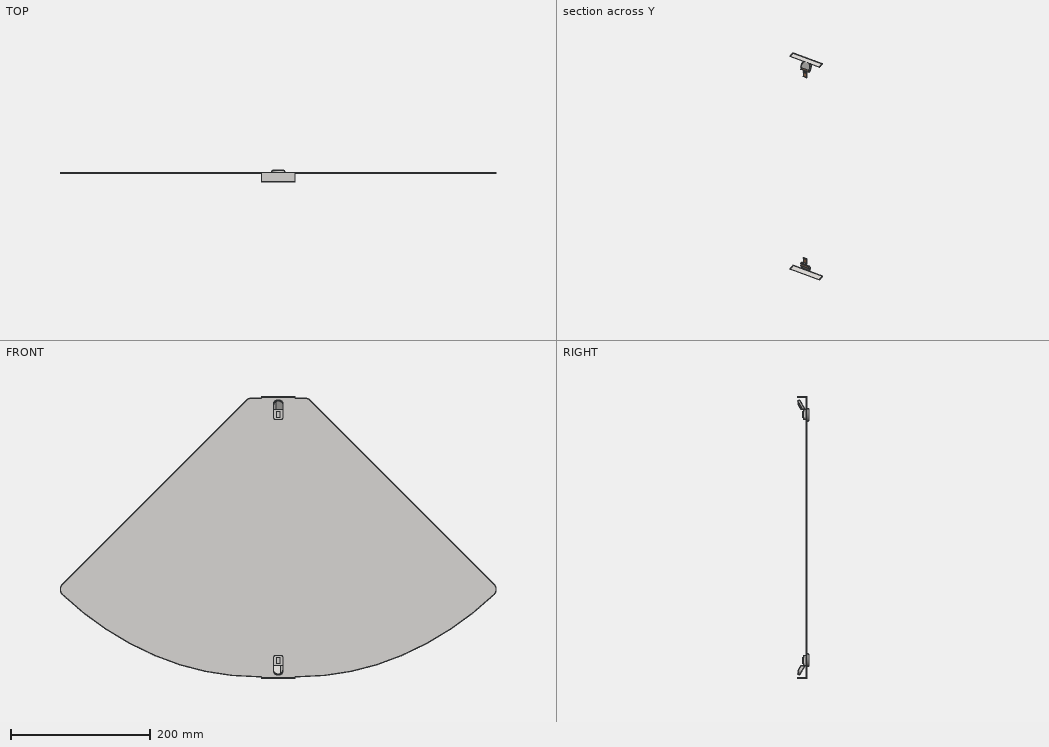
import cadquery as cq
import math

overall_height = 404.5
sheet = 1.5
edge_inset = 2.5
edge_height = overall_height / 2 - edge_inset
sector_radius = 448.5
apex_height = 242.5
side_corner_radius = 10.5
top_corner_radius = 10.0
bottom_corner_radius = 375

flange_width = 48.0
flange_depth = 14.0
flange_tip_radius = 1.0

lock_height = 176.0
collar_diameter = 19.0
collar_depth = 3.0
collar_rounding = 2.5
stem_diameter = 12.5
block_width = 14.0
block_depth = 3.0
block_top = 8.0
block_bottom = -7.0
block_corner_radius = 4.0
rib_width = 5.5
rib_length = 9.0
rib_depth = 2.0
rib_center = 0.5

lever_lean = 30
lever_thickness = 3.0
lever_length = 15.5
lever_back = 1.0
lip_width = 4.0
lip_angle = 30


def on_front(y):
    """XZ workplane at the given Y; extrusions run toward -Y."""
    return cq.Workplane("XZ", origin=(0, y, 0))


def arc_point(angle):
    """Point on the sector's arc at an angle in radians from straight down."""
    return (sector_radius * math.sin(angle), apex_height - sector_radius * math.cos(angle))


def mirrored(point):
    return (-point[0], point[1])


def make_sector():
    half_top = apex_height - edge_height
    corner_angle = math.radians(45)
    flat_angle = math.acos((apex_height + edge_height) / sector_radius)
    corner = arc_point(corner_angle)
    arc_middle = arc_point((corner_angle + flat_angle) / 2)
    flat_end = arc_point(flat_angle)
    sector = (
        on_front(sheet)
        .moveTo(-half_top, edge_height)
        .lineTo(half_top, edge_height)
        .lineTo(*corner)
        .threePointArc(arc_middle, flat_end)
        .lineTo(*mirrored(flat_end))
        .threePointArc(mirrored(arc_middle), mirrored(corner))
        .close()
        .extrude(sheet)
    )
    sector = sector.edges("|Y and >Z").fillet(top_corner_radius)
    sector = sector.edges("|Y and <Z").fillet(bottom_corner_radius)
    return sector.edges("|Y and (<X or >X)").fillet(side_corner_radius)


def make_flange():
    """Upper flange: a short web continuing the sheet upward, then the bent strip."""
    outer = overall_height / 2
    tip = sheet - flange_depth
    flange = (
        cq.Workplane("YZ", origin=(-flange_width / 2, 0, 0))
        .moveTo(sheet, edge_height)
        .lineTo(sheet, outer)
        .lineTo(tip, outer)
        .lineTo(tip, outer - sheet)
        .lineTo(0, outer - sheet)
        .lineTo(0, edge_height)
        .close()
        .extrude(flange_width)
    )
    return flange.edges("|X and <Y and >Z").fillet(flange_tip_radius)


def make_panel():
    flange = make_flange()
    stem_holes = (
        on_front(sheet)
        .pushPoints([(0, lock_height), (0, -lock_height)])
        .circle(stem_diameter / 2)
        .extrude(sheet)
    )
    return make_sector().union(flange).union(flange.mirror("XY")).cut(stem_holes)


def make_housing():
    collar = on_front(sheet + collar_depth).circle(collar_diameter / 2).extrude(collar_depth)
    collar = collar.faces(">Y").fillet(collar_rounding)
    stem = on_front(sheet).circle(stem_diameter / 2).extrude(sheet)
    block = (
        on_front(0)
        .center(0, (block_top + block_bottom) / 2)
        .rect(block_width, block_top - block_bottom)
        .extrude(block_depth)
        .edges("|Y and <Z")
        .fillet(block_corner_radius)
    )
    rib = on_front(-block_depth).center(0, rib_center).rect(rib_width, rib_length).extrude(rib_depth)
    return collar.union(stem).union(block).union(rib)


def make_lever():
    half_width = block_width / 2
    lip_rise = lip_width * math.tan(math.radians(lip_angle))
    root = -lever_length
    bar = (
        cq.Workplane("XY", origin=(0, 0, root))
        .moveTo(-half_width, 0)
        .lineTo(half_width, 0)
        .lineTo(half_width, -lever_thickness)
        .lineTo(lip_width - half_width, -lever_thickness)
        .lineTo(-half_width, -lever_thickness - lip_rise)
        .close()
        .extrude(lever_length - root)
    )
    outline = (
        on_front(0)
        .moveTo(-half_width, root)
        .lineTo(-half_width, lever_length - half_width)
        .threePointArc((0, lever_length), (half_width, lever_length - half_width))
        .lineTo(half_width, root)
        .close()
        .extrude(lever_thickness + lip_rise)
    )
    lever = bar.intersect(outline).rotate((0, 0, 0), (1, 0, 0), lever_lean)
    lever = lever.translate((0, -lever_back, block_top))
    trim_size = 3 * lever_length
    above_block = (
        cq.Workplane("XY", origin=(0, 0, block_top)).rect(trim_size, trim_size).extrude(trim_size)
    )
    return lever.intersect(above_block)


def at_both_locks(body):
    """Copies at the upper lock and, turned half a turn about Y, at the lower lock."""
    upper = body.translate((0, 0, lock_height))
    return [upper.rotate((0, 0, 0), (0, 1, 0), turn).val() for turn in (0, 180)]


panel = make_panel()
housings = at_both_locks(make_housing())
levers = at_both_locks(make_lever())

result = cq.Compound.makeCompound([panel.val(), *housings, *levers])